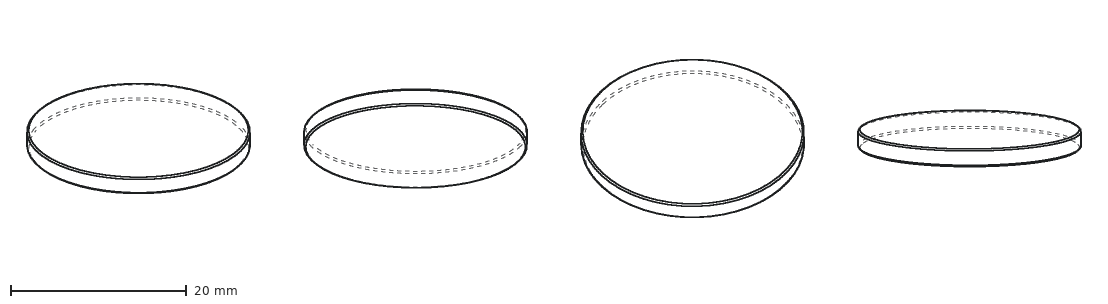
import cadquery as cq

diameter = 25.4
height = 2.8
bottom_sag = 0.74
top_sag = 0.25
chamfer = 0.2

radius = diameter / 2
face_radius = radius - chamfer
rim_bottom = bottom_sag
bottom_pole = (0, 0)
top_pole = (0, height - top_sag)


def halfway_point(pole, sag):
    """Point at half the face radius on a spherical face that rises from its pole."""
    sphere_radius = (face_radius**2 + sag**2) / (2 * sag)
    x = face_radius / 2
    rise = sphere_radius - (sphere_radius**2 - x**2) ** 0.5
    return (x, pole[1] + rise)


half_section = (
    cq.Workplane("XZ")
    .moveTo(*bottom_pole)
    .threePointArc(halfway_point(bottom_pole, bottom_sag), (face_radius, rim_bottom))
    .lineTo(radius, rim_bottom + chamfer)
    .lineTo(radius, height - chamfer)
    .lineTo(face_radius, height)
    .threePointArc(halfway_point(top_pole, top_sag), top_pole)
    .close()
)

result = half_section.revolve(360, (0, 0, 0), (0, 1, 0))